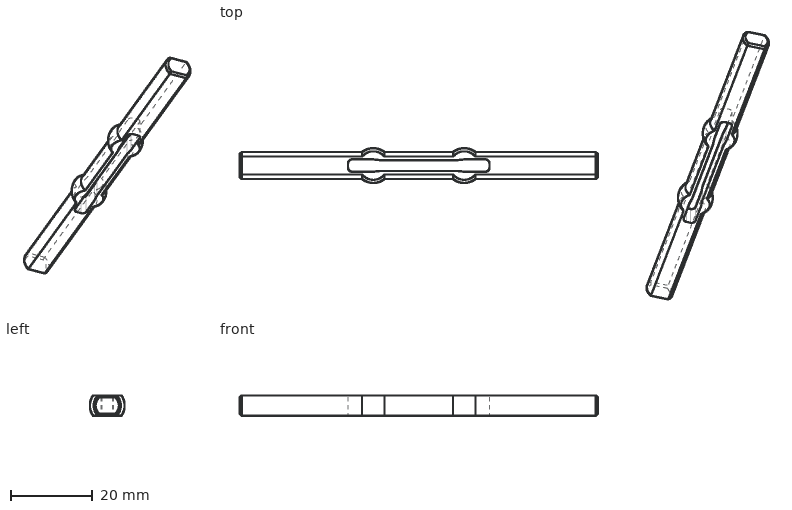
import cadquery as cq

length = 87.5
thickness = 5.0
bar_diameter = 6.65
knob_diameter = 8.6
knob_offset = 11.1
end_chamfer = 0.5

slot_length = 34.5
slot_width = 3.0
slot_corner_radius = 1.0
neck_width = 2.5
neck_length = 18.55
taper_length = 1.9


def make_round_bar():
    """Round rod along X, centred on the origin."""
    return cq.Workplane("YZ").circle(bar_diameter / 2).extrude(length / 2, both=True)


def add_knobs(body):
    """Two spheres centred on the bar axis."""
    for x in (-knob_offset, knob_offset):
        body = body.union(cq.Workplane("XY").sphere(knob_diameter / 2).translate((x, 0, 0)))
    return body


def flatten(body):
    """Keep only the layer between the top and bottom flats."""
    return body.intersect(cq.Workplane("XY").box(length, knob_diameter, thickness))


def make_slot():
    """Through slot with rounded end corners, tapering to a narrower neck in the middle."""
    end_x = slot_length / 2
    neck_x = neck_length / 2
    taper_x = neck_x + taper_length
    wide_y = slot_width / 2
    neck_y = neck_width / 2
    upper_side = [
        (end_x, wide_y),
        (taper_x, wide_y),
        (neck_x, neck_y),
        (-neck_x, neck_y),
        (-taper_x, wide_y),
        (-end_x, wide_y),
    ]
    lower_side = [(-x, -y) for x, y in upper_side]
    return (
        cq.Workplane("XY")
        .polyline(upper_side + lower_side)
        .close()
        .extrude(thickness / 2, both=True)
        .edges("|Z and (<X or >X)")
        .fillet(slot_corner_radius)
    )


bar = flatten(add_knobs(make_round_bar()))
bar = bar.faces("<X or >X").chamfer(end_chamfer)
result = bar.cut(make_slot())